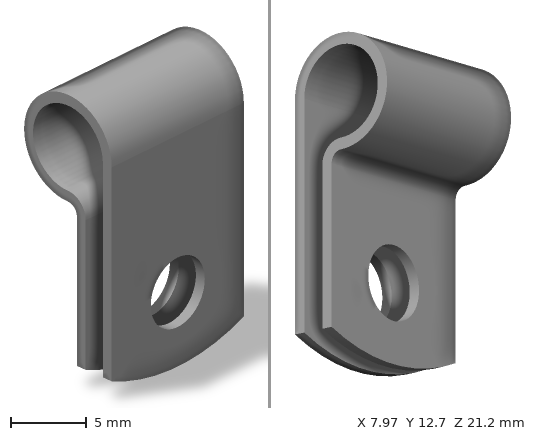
import cadquery as cq
import math

height = 21.25
width = 12.7
loop_diameter = 7.97
thickness = 0.8
hole_diameter = 5.19
hole_height = 5.55
end_sagitta = 1.32

loop_outer = loop_diameter / 2
loop_inner = loop_outer - thickness
bend_inner = thickness
bend_outer = bend_inner + thickness
bend_z = -loop_outer - bend_inner
bottom_z = loop_outer - height
corner_z = bottom_z + end_sagitta
diagonal = math.sqrt(0.5)


def make_strip():
    """Bent strip: straight leg, loop, reverse bend and short leg."""
    profile = (
        cq.Workplane("XZ")
        .moveTo(loop_outer, bottom_z)
        .lineTo(loop_outer, 0)
        .threePointArc((-loop_outer * diagonal, loop_outer * diagonal), (0, -loop_outer))
        .threePointArc(
            (bend_inner * diagonal, bend_z + bend_inner * diagonal),
            (bend_inner, bend_z),
        )
        .lineTo(bend_inner, bottom_z)
        .lineTo(bend_outer, bottom_z)
        .lineTo(bend_outer, bend_z)
        .threePointArc(
            (bend_outer * diagonal, bend_z + bend_outer * diagonal),
            (0, -loop_inner),
        )
        .threePointArc((-loop_inner * diagonal, loop_inner * diagonal), (loop_inner, 0))
        .lineTo(loop_inner, bottom_z)
        .close()
    )
    return profile.extrude(width / 2, both=True)


def make_side_outline():
    """Block bounding the strip, with the rounded lower end of both legs."""
    return (
        cq.Workplane("YZ")
        .moveTo(-width / 2, loop_outer)
        .lineTo(-width / 2, corner_z)
        .threePointArc((0, bottom_z), (width / 2, corner_z))
        .lineTo(width / 2, loop_outer)
        .close()
        .extrude(loop_diameter, both=True)
    )


def make_screw_hole():
    """Cylinder that pierces both legs along X."""
    return (
        cq.Workplane("YZ")
        .center(0, bottom_z + hole_height)
        .circle(hole_diameter / 2)
        .extrude(loop_diameter, both=True)
    )


result = make_strip().intersect(make_side_outline()).cut(make_screw_hole())